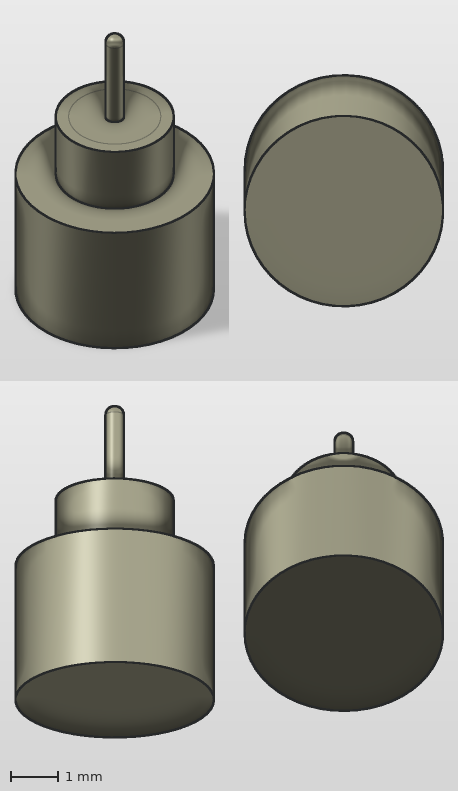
import cadquery as cq

total_height = 6.7

body_diameter = 4.2
body_height = 3.05
neck_diameter = 2.5
neck_height = 1.5
neck_top = body_height + neck_height

core_diameter = 1.95

pin_diameter = 0.4
pin_radius = pin_diameter / 2
dome_start = total_height - pin_radius


def cylinder(diameter, bottom, top):
    """Round bar on the Z axis between two heights."""
    return cq.Workplane("XY").workplane(offset=bottom).circle(diameter / 2).extrude(top - bottom)


def make_housing():
    """Wide body and narrower neck, with a bore for the core through the neck."""
    body = cylinder(body_diameter, 0, body_height)
    neck = cylinder(neck_diameter, body_height, neck_top)
    bore = cylinder(core_diameter, body_height, neck_top)
    return body.union(neck).cut(bore)


def make_core():
    """Insulator filling the neck bore."""
    return cylinder(core_diameter, body_height, neck_top)


def make_pin():
    """Round pin standing on the core and ending in a hemisphere."""
    return (
        cq.Workplane("XZ")
        .moveTo(0, neck_top)
        .lineTo(-pin_radius, neck_top)
        .lineTo(-pin_radius, dome_start)
        .radiusArc((0, total_height), pin_radius)
        .close()
        .revolve(360, (0, 0, 0), (0, 1, 0))
    )


result = make_housing().union(make_core(), clean=False).union(make_pin(), clean=False)